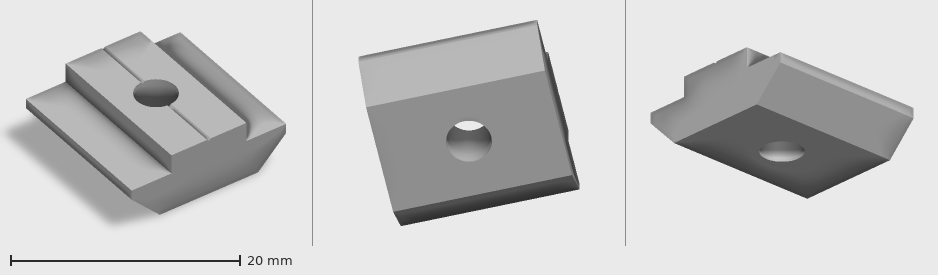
import cadquery as cq

length = 16.0
width = 16.5
height = 6.0

neck_width = 8.0
neck_height = 2.0
flange_edge_height = 1.0
groove_width = 0.4
groove_depth = groove_width / 2

hole_diameter = 4.0

shoulder_z = height - neck_height
bevel_top_z = shoulder_z - flange_edge_height
base_width = width - 2 * bevel_top_z

half_section = [
    (0, 0),
    (base_width / 2, 0),
    (width / 2, bevel_top_z),
    (width / 2, shoulder_z),
    (neck_width / 2, shoulder_z),
    (neck_width / 2, height),
    (groove_width / 2, height),
    (0, height - groove_depth),
]

body = (
    cq.Workplane("YZ")
    .polyline(half_section)
    .mirrorY()
    .extrude(length / 2, both=True)
)

hole = cq.Workplane("XY").circle(hole_diameter / 2).extrude(height)

result = body.cut(hole)